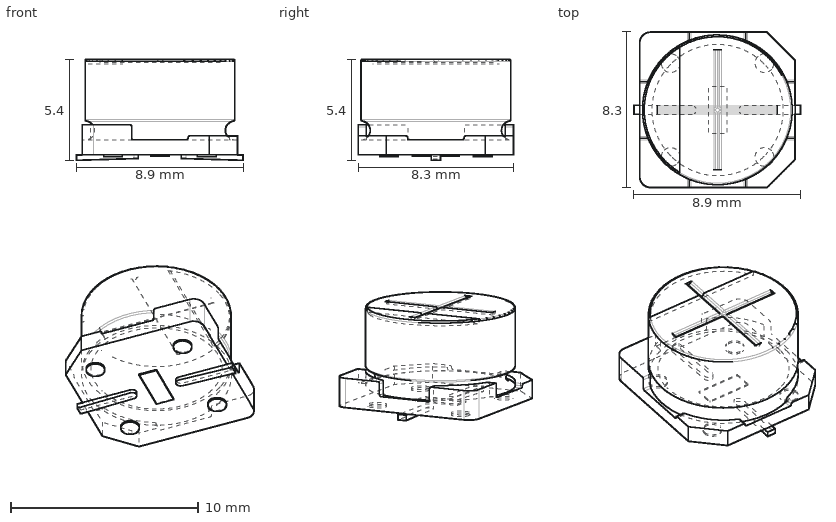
import cadquery as cq
import math


BASE_SIZE = 8.3
FLOOR_TOP = 0.8
TALL_BLOCK_TOP = 1.6
LOW_BLOCK_TOP = 1.01
CORNER_RADIUS = 0.6
CORNER_CHAMFER = 1.5
CHANNEL_HALF_WIDTH = 1.5
BLEND_RADIUS = 0.1

FOOT_DIAMETER = 1.0
FOOT_OFFSET = 2.5
FOOT_HEIGHT = 0.1
PAD_LENGTH_X = 1.0
PAD_LENGTH_Y = 2.5
PAD_HEIGHT = 0.07

CAN_RADIUS = 8.0 / 2
CAN_TOP = 5.1
NECK_CURVE_RADIUS = 0.5
CAN_EDGE_RADIUS = 0.1

SCORE_HALF_LENGTH = 3.2
SCORE_WIDTH = 0.41
SCORE_BEND_WIDTH = 0.1
SCORE_DEPTH = 0.15

MARK_EDGE_X = -1.99
MARK_DEPTH = 0.25

LEAD_OUTER_X = 4.45
LEAD_INNER_X = 1.14
LEAD_WIDTH = 0.5
LEAD_OUTER_THICKNESS = 0.3
LEAD_INNER_THICKNESS = 0.205


def block_at(x_min, x_max, y_min, y_max, z_min, z_max):
    """Box given by its limits along each axis."""
    corner = cq.Vector(x_min, y_min, z_min)
    return cq.Workplane(cq.Solid.makeBox(x_max - x_min, y_max - y_min, z_max - z_min, corner))


def make_can_blank():
    """Revolve the can: necked foot, rounded lip, straight wall and rounded top edge."""
    neck_centre_z = FLOOR_TOP + NECK_CURVE_RADIUS
    neck_inner_r = CAN_RADIUS - NECK_CURVE_RADIUS

    edge_centre_r = CAN_RADIUS - CAN_EDGE_RADIUS
    centre_distance = NECK_CURVE_RADIUS + CAN_EDGE_RADIUS
    lip_centre_z = neck_centre_z + math.sqrt(centre_distance**2 - CAN_EDGE_RADIUS**2)
    neck_share = NECK_CURVE_RADIUS / centre_distance
    neck_end_r = CAN_RADIUS - CAN_EDGE_RADIUS * neck_share
    neck_end_z = neck_centre_z + (lip_centre_z - neck_centre_z) * neck_share

    profile = (
        cq.Workplane("XZ")
        .moveTo(0, FLOOR_TOP)
        .lineTo(CAN_RADIUS, FLOOR_TOP)
        .threePointArc((neck_inner_r, neck_centre_z), (neck_end_r, neck_end_z))
        .tangentArcPoint((CAN_RADIUS, lip_centre_z), relative=False)
        .lineTo(CAN_RADIUS, CAN_TOP - CAN_EDGE_RADIUS)
        .tangentArcPoint((edge_centre_r, CAN_TOP), relative=False)
        .lineTo(0, CAN_TOP)
        .close()
    )
    return profile.revolve(360, (0, 0, 0), (0, 1, 0))


def score_bend_radius():
    """Radius of the two equal arcs, one convex and one concave, of each score side."""
    drop = SCORE_DEPTH / 2
    return (SCORE_BEND_WIDTH**2 + drop**2) / (2 * drop)


def make_score_arm():
    """Cutter for the +X arm of the score, from the crossing to its flat end."""
    edge = SCORE_WIDTH / 2
    middle = edge - SCORE_BEND_WIDTH
    floor_edge = edge - 2 * SCORE_BEND_WIDTH
    middle_z = CAN_TOP - SCORE_DEPTH / 2
    floor_z = CAN_TOP - SCORE_DEPTH
    bend = score_bend_radius()
    profile = (
        cq.Workplane("YZ", origin=(edge, 0, 0))
        .moveTo(-edge, CAN_TOP)
        .radiusArc((-middle, middle_z), bend)
        .radiusArc((-floor_edge, floor_z), -bend)
        .lineTo(floor_edge, floor_z)
        .radiusArc((middle, middle_z), -bend)
        .radiusArc((edge, CAN_TOP), bend)
        .close()
    )
    return profile.extrude(SCORE_HALF_LENGTH - edge)


def make_score_corner():
    """Flared post with the same S-curve, which rounds one corner of the crossing."""
    floor_z = CAN_TOP - SCORE_DEPTH
    bend = score_bend_radius()
    profile = (
        cq.Workplane("XZ")
        .moveTo(0, floor_z)
        .lineTo(0, CAN_TOP)
        .radiusArc((SCORE_BEND_WIDTH, CAN_TOP - SCORE_DEPTH / 2), bend)
        .radiusArc((2 * SCORE_BEND_WIDTH, floor_z), -bend)
        .close()
    )
    return profile.revolve(360, (0, 0, 0), (0, 1, 0))


def cut_score(can):
    """Cut the crossing and the four arms of the score into the can top."""
    edge = SCORE_WIDTH / 2
    crossing = block_at(-edge, edge, -edge, edge, CAN_TOP - SCORE_DEPTH, CAN_TOP)
    corner_post = make_score_corner().translate((-edge, -edge, 0))
    arm = make_score_arm()
    quarter_turns = (0, 90, 180, 270)
    for angle in quarter_turns:
        crossing = crossing.cut(corner_post.rotate((0, 0, 0), (0, 0, 1), angle))
    can = can.cut(crossing)
    for angle in quarter_turns:
        can = can.cut(arm.rotate((0, 0, 0), (0, 0, 1), angle))
    return can


def make_mark_zone():
    """Circle segment on the -X side of the flat can top."""
    flat_radius = CAN_RADIUS - CAN_EDGE_RADIUS
    disc = cq.Workplane("XY", origin=(0, 0, CAN_TOP - MARK_DEPTH)).circle(flat_radius).extrude(MARK_DEPTH)
    side = block_at(-CAN_RADIUS, MARK_EDGE_X, -CAN_RADIUS, CAN_RADIUS, 0, CAN_TOP)
    return disc.intersect(side)


def make_channel(block_top):
    """Channel along X, with blends at the floor corners and along the block edges."""
    blend = BLEND_RADIUS
    wall = CHANNEL_HALF_WIDTH
    half_length = BASE_SIZE / 2
    profile = (
        cq.Workplane("YZ", origin=(-half_length, 0, 0))
        .moveTo(-wall - blend, block_top)
        .radiusArc((-wall, block_top - blend), blend)
        .lineTo(-wall, FLOOR_TOP + blend)
        .radiusArc((-wall + blend, FLOOR_TOP), -blend)
        .lineTo(wall - blend, FLOOR_TOP)
        .radiusArc((wall, FLOOR_TOP + blend), -blend)
        .lineTo(wall, block_top - blend)
        .radiusArc((wall + blend, block_top), blend)
        .close()
    )
    return profile.extrude(BASE_SIZE)


def make_base_half(x_direction, block_top):
    """One X half of the base, with channels between its corner blocks."""
    half = BASE_SIZE / 2
    body = block_at(-half, half, -half, half, 0, block_top)
    channel = make_channel(block_top)
    cross_channel = channel.rotate((0, 0, 0), (0, 0, 1), 90)
    body = body.cut(channel).cut(cross_channel)
    x_min, x_max = sorted((0, x_direction * half))
    return body.intersect(block_at(x_min, x_max, -half, half, 0, block_top))


def make_base():
    """Base with tall -X blocks, low +X blocks, a seat for the can, feet and a pad."""
    base = make_base_half(-1, TALL_BLOCK_TOP).union(make_base_half(1, LOW_BLOCK_TOP)).clean()
    outline = (
        cq.Workplane("XY")
        .rect(BASE_SIZE, BASE_SIZE)
        .extrude(TALL_BLOCK_TOP)
        .edges("|Z and <X")
        .fillet(CORNER_RADIUS)
        .edges("|Z and >X")
        .chamfer(CORNER_CHAMFER)
    )
    seat = cq.Workplane("XY", origin=(0, 0, FLOOR_TOP)).circle(CAN_RADIUS).extrude(TALL_BLOCK_TOP - FLOOR_TOP)
    base = base.intersect(outline).cut(seat)
    feet = (
        cq.Workplane("XY")
        .rect(2 * FOOT_OFFSET, 2 * FOOT_OFFSET, forConstruction=True)
        .vertices()
        .circle(FOOT_DIAMETER / 2)
        .extrude(-FOOT_HEIGHT)
    )
    pad = cq.Workplane("XY").rect(PAD_LENGTH_X, PAD_LENGTH_Y).extrude(-PAD_HEIGHT)
    return base.union(feet).union(pad)


def make_lead():
    """Tapered lead on the +X side, lying against the underside of the base."""
    half_width = LEAD_WIDTH / 2
    taper = (
        cq.Workplane("XZ")
        .polyline([
            (LEAD_INNER_X, 0),
            (LEAD_OUTER_X, 0),
            (LEAD_OUTER_X, -LEAD_OUTER_THICKNESS),
            (LEAD_INNER_X, -LEAD_INNER_THICKNESS),
        ])
        .close()
        .extrude(half_width, both=True)
    )
    outline = (
        cq.Workplane("XY")
        .moveTo(LEAD_OUTER_X, -half_width)
        .lineTo(LEAD_OUTER_X, half_width)
        .lineTo(LEAD_INNER_X + half_width, half_width)
        .threePointArc((LEAD_INNER_X, 0), (LEAD_INNER_X + half_width, -half_width))
        .close()
        .extrude(-LEAD_OUTER_THICKNESS)
    )
    return taper.intersect(outline)


scored_can = cut_score(make_can_blank())
mark_zone = make_mark_zone()
can = scored_can.cut(mark_zone)
polarity_mark = scored_can.intersect(mark_zone)
base = make_base()
leads = [make_lead().rotate((0, 0, 0), (0, 0, 1), angle) for angle in (0, 180)]

result = cq.Compound.makeCompound([
    base.val(),
    can.val(),
    polarity_mark.val(),
    *[lead.val() for lead in leads],
])